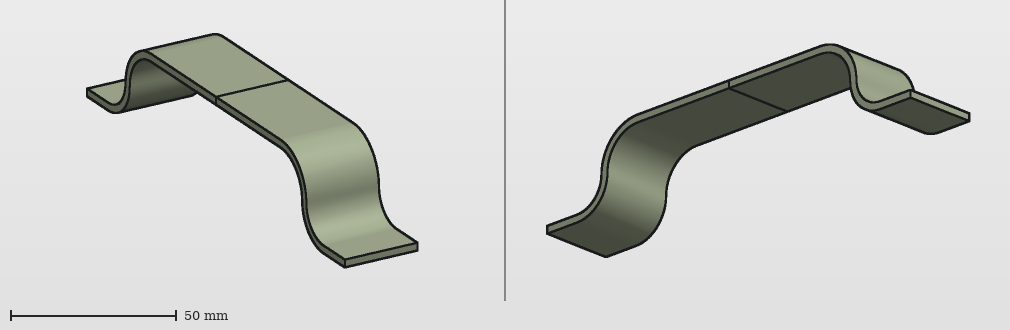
import cadquery as cq
import math

length = 152.4
width = 25.5
thickness = 2.6

foot_length = 12.6
crest_outer_radius = 15.2
crest_inner_radius = crest_outer_radius - thickness
foot_inner_radius = 10.0
foot_outer_radius = foot_inner_radius + thickness

bend_height = foot_outer_radius
height = bend_height + crest_outer_radius
half_length = length / 2
foot_bend_x = -half_length + foot_length
crest_bend_x = foot_bend_x + foot_inner_radius + crest_outer_radius


def arc_middle(center_x, radius, x_side, z_side):
    """Midpoint of a quarter bend, on the chosen side of its centre."""
    offset = radius * math.sqrt(0.5)
    return (center_x + x_side * offset, bend_height + z_side * offset)


def make_left_half():
    """Bent strip from the left foot to the joint at X = 0, centred on Y = 0."""
    return (
        cq.Workplane("XZ")
        .moveTo(-half_length, 0)
        .lineTo(foot_bend_x, 0)
        .threePointArc(
            arc_middle(foot_bend_x, foot_outer_radius, 1, -1),
            (foot_bend_x + foot_outer_radius, bend_height),
        )
        .threePointArc(
            arc_middle(crest_bend_x, crest_inner_radius, -1, 1),
            (crest_bend_x, height - thickness),
        )
        .lineTo(0, height - thickness)
        .lineTo(0, height)
        .lineTo(crest_bend_x, height)
        .threePointArc(
            arc_middle(crest_bend_x, crest_outer_radius, -1, 1),
            (crest_bend_x - crest_outer_radius, bend_height),
        )
        .threePointArc(
            arc_middle(foot_bend_x, foot_inner_radius, 1, -1),
            (foot_bend_x, thickness),
        )
        .lineTo(-half_length, thickness)
        .close()
        .extrude(width / 2, both=True)
    )


half_turn = 180
handle_halves = []
for angle in (0, half_turn):
    handle_half = make_left_half().rotate((0, 0, 0), (0, 0, 1), angle)
    handle_halves.append(handle_half.val())

result = cq.Compound.makeCompound(handle_halves)